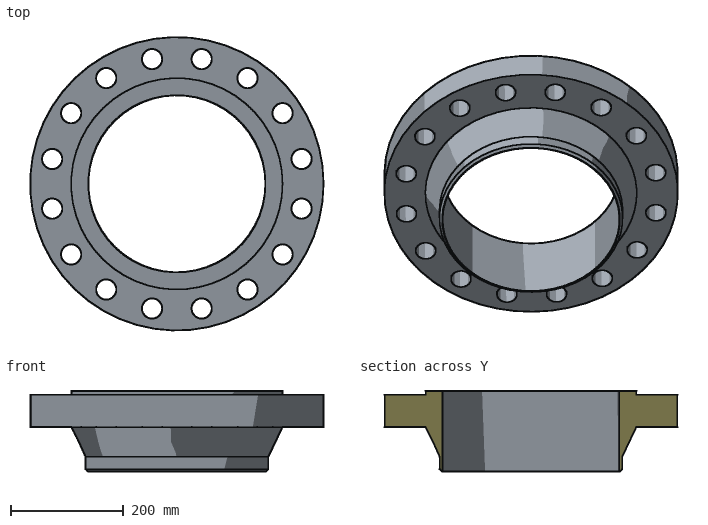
import cadquery as cq

flange_diameter = 520.5
total_height = 143.0
face_diameter = 375.0
face_height = 7.0
flange_thickness = 57.5
bore_diameter = 313.5

neck_diameter = 325.0
neck_height = 26.5
hub_diameter = face_diameter
weld_bevel_height = 4.5
weld_bevel_width = 4.5

bolt_count = 16
bolt_circle_diameter = 451.0
bolt_hole_diameter = 35.5

flange_top = total_height - face_height
flange_bottom = flange_top - flange_thickness
bore_radius = bore_diameter / 2
neck_radius = neck_diameter / 2


def flange_body():
    """Revolve the half section of the flange, tapered hub and neck."""
    section = (
        cq.Workplane("XZ")
        .moveTo(bore_radius, 0)
        .lineTo(neck_radius - weld_bevel_width, 0)
        .lineTo(neck_radius, weld_bevel_height)
        .lineTo(neck_radius, neck_height)
        .lineTo(hub_diameter / 2, flange_bottom)
        .lineTo(flange_diameter / 2, flange_bottom)
        .lineTo(flange_diameter / 2, flange_top)
        .lineTo(face_diameter / 2, flange_top)
        .lineTo(face_diameter / 2, total_height)
        .lineTo(bore_radius, total_height)
        .close()
    )
    return section.revolve(360, (0, 0, 0), (0, 1, 0))


def bolt_holes():
    """Cylinders through the flange, half a pitch off the X axis."""
    half_pitch = 180 / bolt_count
    return (
        cq.Workplane("XY")
        .polarArray(bolt_circle_diameter / 2, half_pitch, 360, bolt_count)
        .circle(bolt_hole_diameter / 2)
        .extrude(total_height)
    )


result = flange_body().cut(bolt_holes())